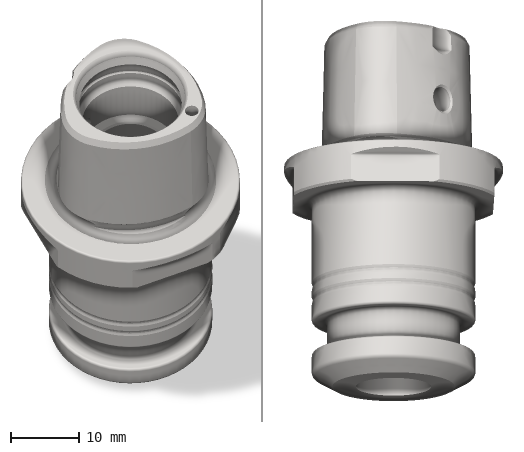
import cadquery as cq
import math

HEIGHT = 52.5
PLATFORM_Z = 33.7
FLANGE_TOP = 33.45
FLANGE_BOTTOM = 27.4
SHAFT_BOTTOM = 9.65
RIM_TOP = 4.9

FLANGE_RADIUS = 16.0
SHAFT_RADIUS = 11.95
NECK_RADIUS = 9.74
FLANGE_EDGE = 0.3
SHAFT_EDGE = 0.35
UNDER_FLANGE_FILLET = 0.8
NECK_FILLET = 0.45
BASE_RADIUS = 9.0
BASE_ANGLE = 30.0
BASE_ROUND = 0.7
RING_GROOVES = [15.0, 12.9]
RING_GROOVE_WIDTH = 1.1
RING_GROOVE_FLOOR = 0.235
RING_GROOVE_DEPTH = 0.15

RECESS_CENTER_RADIUS = 11.75
RECESS_CENTER_Z = 34.05
RECESS_RADIUS = 1.0

HEAD_MEAN_RADIUS = 11.0
LOBE_RISE = 0.71
LOBE_ARC_RADIUS = 6.45
LOBE_COUNT = 3
HEAD_TAPER = 1 / 40
TAPER_BOTTOM = 35.4
TAPER_TOP = 51.55
TOP_CHAMFER = 0.5
FOOT_INSET = 0.3
FOOT_TOP = 35.0

BORE_RADIUS = 5.5
BORE_EDGE = 0.25
SOCKET_FLOOR_Z = 39.8
LOWER_SOCKET_RADIUS = 7.1
LOWER_SOCKET_TOP = 46.05
STEP_CHAMFER = 0.6
STEP_ROUND = 0.5
SOCKET_RADIUS = 7.8
UNDERCUT_RADIUS = 8.25
UNDERCUT_BOTTOM = 48.2
UNDERCUT_TOP = 50.45
LIP_RADIUS = 7.5
LEAD_IN_RADIUS = 8.0
SOCKET_ENTRY_DEPTH = 0.85
SOCKET_ENTRY_RADIUS = 8.4
SOCKET_ENTRY_ROUND = 1.05

WRENCH_FLAT_DISTANCE = 14.65
WRENCH_FLAT_TOP = 31.3
WRENCH_SLOPE = 30.0
WRENCH_ANGLES = [45, 135, 225, 315]
MARK_FLAT_DISTANCE = 15.5
MARK_FLAT_TOP = 32.0
MARK_SLOPE = 60.0
FLAT_CORNER_FILLET = 0.3

SIDE_HOLE_DIAMETER = 3.6
SIDE_HOLE_Z = 41.65
SIDE_HOLE_CHAMFER = 0.35
NOTCH_RADIUS = 2.9
NOTCH_BACK = 9.05
NOTCH_FLOOR = 49.3
NOTCH_POINT_ANGLE = 90.0
PIN_HOLE_DIAMETER = 2.0
PIN_HOLE_X = 9.55
PIN_HOLE_DEPTH = 2.6
DRILL_POINT_ANGLE = 118.0

CUT_MARGIN = 0.5


def revolve_profile(profile):
    """Turn a closed (radius, z) profile drawn on the XZ plane around Z."""
    return profile.close().revolve(360, (0, 0, 0), (0, 1, 0))


def turned_body():
    cone_rise = (SHAFT_RADIUS - BASE_RADIUS) * math.tan(math.radians(BASE_ANGLE))
    round_side = BASE_ROUND * math.tan(math.radians((90 - BASE_ANGLE) / 2))
    round_r = SHAFT_RADIUS - round_side * math.cos(math.radians(BASE_ANGLE))
    round_z = cone_rise - round_side * math.sin(math.radians(BASE_ANGLE))
    profile = (
        cq.Workplane("XZ")
        .lineTo(BASE_RADIUS, 0)
        .lineTo(round_r, round_z)
        .radiusArc((SHAFT_RADIUS, cone_rise + round_side), -BASE_ROUND)
        .lineTo(SHAFT_RADIUS, RIM_TOP - SHAFT_EDGE)
        .radiusArc((SHAFT_RADIUS - SHAFT_EDGE, RIM_TOP), -SHAFT_EDGE)
        .lineTo(NECK_RADIUS + NECK_FILLET, RIM_TOP)
        .radiusArc((NECK_RADIUS, RIM_TOP + NECK_FILLET), NECK_FILLET)
        .lineTo(NECK_RADIUS, SHAFT_BOTTOM - NECK_FILLET)
        .radiusArc((NECK_RADIUS + NECK_FILLET, SHAFT_BOTTOM), NECK_FILLET)
        .lineTo(SHAFT_RADIUS - SHAFT_EDGE, SHAFT_BOTTOM)
        .radiusArc((SHAFT_RADIUS, SHAFT_BOTTOM + SHAFT_EDGE), -SHAFT_EDGE)
        .lineTo(SHAFT_RADIUS, FLANGE_BOTTOM - UNDER_FLANGE_FILLET)
        .radiusArc((SHAFT_RADIUS + UNDER_FLANGE_FILLET, FLANGE_BOTTOM), UNDER_FLANGE_FILLET)
        .lineTo(FLANGE_RADIUS - FLANGE_EDGE, FLANGE_BOTTOM)
        .lineTo(FLANGE_RADIUS, FLANGE_BOTTOM + FLANGE_EDGE)
        .lineTo(FLANGE_RADIUS, FLANGE_TOP - FLANGE_EDGE)
        .radiusArc((FLANGE_RADIUS - FLANGE_EDGE, FLANGE_TOP), -FLANGE_EDGE)
        .lineTo(RECESS_CENTER_RADIUS, FLANGE_TOP)
        .lineTo(RECESS_CENTER_RADIUS, PLATFORM_Z)
        .lineTo(0, PLATFORM_Z)
    )
    return revolve_profile(profile)


def ring_groove(z):
    """Shallow groove with sloped sides around the shaft."""
    half_width = RING_GROOVE_WIDTH / 2
    half_floor = RING_GROOVE_FLOOR / 2
    floor_radius = SHAFT_RADIUS - RING_GROOVE_DEPTH
    outer_radius = SHAFT_RADIUS + CUT_MARGIN
    profile = (
        cq.Workplane("XZ")
        .moveTo(SHAFT_RADIUS, z - half_width)
        .lineTo(floor_radius, z - half_floor)
        .lineTo(floor_radius, z + half_floor)
        .lineTo(SHAFT_RADIUS, z + half_width)
        .lineTo(outer_radius, z + half_width)
        .lineTo(outer_radius, z - half_width)
    )
    return revolve_profile(profile)


def polar(radius, degrees):
    angle = math.radians(degrees)
    return cq.Vector(radius * math.cos(angle), radius * math.sin(angle))


def head_outline(z, inset):
    """Three small lobe arcs joined tangentially by three large flank arcs, one lobe toward +X."""
    lobe_tip = HEAD_MEAN_RADIUS + LOBE_RISE
    flank_mid = HEAD_MEAN_RADIUS - LOBE_RISE
    lobe_center = lobe_tip - LOBE_ARC_RADIUS
    step = flank_mid - LOBE_ARC_RADIUS
    flank_center = (lobe_center**2 - step**2) / (2 * step - lobe_center)

    pitch = 360 / LOBE_COUNT
    to_lobe = polar(lobe_center, 0) - polar(flank_center, pitch / 2 + 180)
    half_lobe = math.degrees(math.atan2(to_lobe.y, to_lobe.x))
    lobe_radius = LOBE_ARC_RADIUS - inset
    edges = []
    lift = cq.Vector(0, 0, z)
    for i in range(LOBE_COUNT):
        heading = i * pitch
        center = polar(lobe_center, heading)
        next_center = polar(lobe_center, heading + pitch)
        start = center + polar(lobe_radius, heading - half_lobe)
        tip = polar(lobe_tip - inset, heading)
        end = center + polar(lobe_radius, heading + half_lobe)
        mid = polar(flank_mid - inset, heading + pitch / 2)
        next_start = next_center + polar(lobe_radius, heading + pitch - half_lobe)
        edges.append(cq.Edge.makeThreePointArc(start + lift, tip + lift, end + lift))
        edges.append(cq.Edge.makeThreePointArc(end + lift, mid + lift, next_start + lift))
    return cq.Wire.assembleEdges(edges)


def tapered_head():
    top_inset = (TAPER_TOP - TAPER_BOTTOM) * HEAD_TAPER
    sections = [
        (FLANGE_BOTTOM, FOOT_INSET),
        (FOOT_TOP, FOOT_INSET),
        (TAPER_BOTTOM, 0),
        (TAPER_TOP, top_inset),
        (HEIGHT, top_inset + TOP_CHAMFER),
    ]
    outlines = [head_outline(z, inset) for z, inset in sections]
    return cq.Workplane(obj=cq.Solid.makeLoft(outlines, True))


def recess():
    ring = cq.Workplane("XZ").moveTo(RECESS_CENTER_RADIUS, RECESS_CENTER_Z).circle(RECESS_RADIUS)
    return ring.revolve(360, (0, 0, 0), (0, 1, 0))


def bore():
    chamfer_radius = LOWER_SOCKET_RADIUS + STEP_CHAMFER
    chamfer_top = LOWER_SOCKET_TOP + STEP_CHAMFER
    round_top = chamfer_top + STEP_ROUND * math.sin(math.radians(45))
    profile = (
        cq.Workplane("XZ")
        .lineTo(BORE_RADIUS, 0)
        .lineTo(BORE_RADIUS, SOCKET_FLOOR_Z - BORE_EDGE)
        .lineTo(BORE_RADIUS + BORE_EDGE, SOCKET_FLOOR_Z)
        .lineTo(LOWER_SOCKET_RADIUS, SOCKET_FLOOR_Z)
        .lineTo(LOWER_SOCKET_RADIUS, LOWER_SOCKET_TOP)
        .lineTo(chamfer_radius, chamfer_top)
        .radiusArc((SOCKET_RADIUS, round_top), -STEP_ROUND)
        .lineTo(SOCKET_RADIUS, UNDERCUT_BOTTOM)
        .lineTo(UNDERCUT_RADIUS, UNDERCUT_BOTTOM)
        .lineTo(UNDERCUT_RADIUS, UNDERCUT_TOP)
        .lineTo(LIP_RADIUS, UNDERCUT_TOP)
        .lineTo(LEAD_IN_RADIUS, HEIGHT - SOCKET_ENTRY_DEPTH)
        .radiusArc((SOCKET_ENTRY_RADIUS, HEIGHT), SOCKET_ENTRY_ROUND)
        .lineTo(0, HEIGHT)
    )
    return revolve_profile(profile)


def flange_flat(distance, top, slope, angle):
    """Flat cut up from the flange's underside, with a filleted roof sloping up and outward."""
    reach = FLANGE_RADIUS + CUT_MARGIN
    rise = math.radians(slope)
    fillet_side = FLAT_CORNER_FILLET * math.tan((math.pi / 2 - rise) / 2)
    corner_z = top + fillet_side
    roof_start = (distance + fillet_side * math.cos(rise), corner_z + fillet_side * math.sin(rise))
    roof_top = corner_z + (reach - distance) * math.tan(rise)
    return (
        cq.Workplane("XZ")
        .moveTo(distance, FLANGE_BOTTOM)
        .lineTo(distance, top)
        .radiusArc(roof_start, FLAT_CORNER_FILLET)
        .lineTo(reach, roof_top)
        .lineTo(reach, FLANGE_BOTTOM)
        .close()
        .extrude(FLANGE_RADIUS, both=True)
        .rotate((0, 0, 0), (0, 0, 1), angle)
    )


def side_hole():
    """Hole from the -X flank into the socket, with a chamfered mouth."""
    radius = SIDE_HOLE_DIAMETER / 2
    mouth_inset = (SIDE_HOLE_Z - TAPER_BOTTOM) * HEAD_TAPER
    mouth = HEAD_MEAN_RADIUS - LOBE_RISE - mouth_inset
    outer_end = -mouth - CUT_MARGIN
    profile = (
        cq.Workplane("XY")
        .lineTo(outer_end, 0)
        .lineTo(outer_end, radius + SIDE_HOLE_CHAMFER + CUT_MARGIN)
        .lineTo(-mouth + SIDE_HOLE_CHAMFER, radius)
        .lineTo(0, radius)
        .close()
    )
    return profile.revolve(360, (0, 0, 0), (1, 0, 0)).translate((0, 0, SIDE_HOLE_Z))


def pointed_cutter(radius, point_angle, x, bottom):
    """Vertical round cutter with a conical point below the given level, open at the top."""
    point = radius / math.tan(math.radians(point_angle / 2))
    profile = (
        cq.Workplane("XZ")
        .moveTo(0, bottom - point)
        .lineTo(radius, bottom)
        .lineTo(radius, HEIGHT)
        .lineTo(0, HEIGHT)
    )
    return revolve_profile(profile).translate((x, 0, 0))


result = turned_body().union(tapered_head()).cut(recess()).cut(bore())
for groove_z in RING_GROOVES:
    result = result.cut(ring_groove(groove_z))
for flat_angle in WRENCH_ANGLES:
    result = result.cut(flange_flat(WRENCH_FLAT_DISTANCE, WRENCH_FLAT_TOP, WRENCH_SLOPE, flat_angle))
result = result.cut(flange_flat(MARK_FLAT_DISTANCE, MARK_FLAT_TOP, MARK_SLOPE, 0))
result = result.cut(side_hole())
result = result.cut(
    pointed_cutter(NOTCH_RADIUS, NOTCH_POINT_ANGLE, -NOTCH_BACK - NOTCH_RADIUS, NOTCH_FLOOR)
)
result = result.cut(
    pointed_cutter(PIN_HOLE_DIAMETER / 2, DRILL_POINT_ANGLE, PIN_HOLE_X, HEIGHT - PIN_HOLE_DEPTH)
)